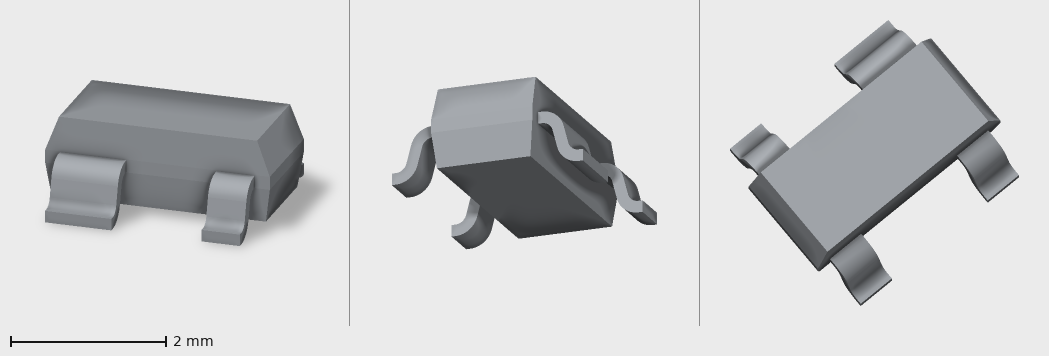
import cadquery as cq
import math

body_length = 3.05
body_width = 1.4
top_length = 2.69
top_width = 1.35
bottom_length = 2.91
bottom_width = 1.293
body_bottom = 0.1
body_top = 1.22
band_height = 0.18
band_bottom = (body_bottom + body_top - band_height) / 2
band_top = band_bottom + band_height

lead_span = 2.64
lead_thickness = 0.16
bend_inner_radius = 0.15
bend_outer_radius = bend_inner_radius + lead_thickness
bend_angle = math.radians(75)
lead_row_edge = 1.325
lead_width = 0.522
wide_lead_width = 0.903

leads_layout = [
    (-1, -1, wide_lead_width),
    (1, -1, lead_width),
    (-1, 1, lead_width),
    (1, 1, lead_width),
]

marker_diameter = 0.152
marker_depth = 0.015
marker_x = -0.87
marker_y = -0.357


def make_taper(start_z, start_size, end_z, end_size):
    """Loft between two centred rectangles lying at different heights."""
    return (
        cq.Workplane("XY", origin=(0, 0, start_z))
        .rect(*start_size)
        .workplane(offset=end_z - start_z)
        .rect(*end_size)
        .loft(ruled=True)
    )


def make_marker():
    return (
        cq.Workplane("XY", origin=(marker_x, marker_y, body_top - marker_depth))
        .circle(marker_diameter / 2)
        .extrude(marker_depth)
    )


def make_body():
    band_size = (body_length, body_width)
    band = (
        cq.Workplane("XY", origin=(0, 0, band_bottom))
        .rect(*band_size)
        .extrude(band_height)
    )
    upper = make_taper(band_top, band_size, body_top, (top_length, top_width))
    lower = make_taper(body_bottom, (bottom_length, bottom_width), band_bottom, band_size)
    return band.union(upper).union(lower).cut(make_marker())


def bend_point(center, radius, angle):
    """Point on a bend, with the angle measured from +Y towards +Z."""
    return (center[0] + radius * math.cos(angle), center[1] + radius * math.sin(angle))


def make_lead(side_x, side_y, width):
    """S-shaped strip running from the side of the body out to a flat foot."""
    root_y = body_width / 2
    toe_y = lead_span / 2
    lead_middle = (band_bottom + band_top) / 2
    lead_top = lead_middle + lead_thickness / 2
    lead_underside = lead_top - lead_thickness

    bend_middle_radius = (bend_inner_radius + bend_outer_radius) / 2
    bend_rise = bend_middle_radius * (1 - math.cos(bend_angle))
    bend_reach = bend_middle_radius * math.sin(bend_angle)
    leg_reach = (lead_underside - 2 * bend_rise) / math.tan(bend_angle)
    flat_length = (toe_y - root_y - 2 * bend_reach - leg_reach) / 2

    shoulder_center = (root_y + flat_length, lead_top - bend_outer_radius)
    foot_center = (toe_y - flat_length, bend_outer_radius)
    shoulder_start = math.pi / 2
    shoulder_end = shoulder_start - bend_angle
    shoulder_mid = shoulder_start - bend_angle / 2
    foot_start = shoulder_end + math.pi
    foot_mid = shoulder_mid + math.pi
    foot_end = shoulder_start + math.pi

    profile = (
        cq.Workplane("YZ")
        .moveTo(root_y, lead_top)
        .lineTo(*bend_point(shoulder_center, bend_outer_radius, shoulder_start))
        .threePointArc(
            bend_point(shoulder_center, bend_outer_radius, shoulder_mid),
            bend_point(shoulder_center, bend_outer_radius, shoulder_end),
        )
        .lineTo(*bend_point(foot_center, bend_inner_radius, foot_start))
        .threePointArc(
            bend_point(foot_center, bend_inner_radius, foot_mid),
            bend_point(foot_center, bend_inner_radius, foot_end),
        )
        .lineTo(toe_y, lead_thickness)
        .lineTo(toe_y, 0)
        .lineTo(*bend_point(foot_center, bend_outer_radius, foot_end))
        .threePointArc(
            bend_point(foot_center, bend_outer_radius, foot_mid),
            bend_point(foot_center, bend_outer_radius, foot_start),
        )
        .lineTo(*bend_point(shoulder_center, bend_inner_radius, shoulder_end))
        .threePointArc(
            bend_point(shoulder_center, bend_inner_radius, shoulder_mid),
            bend_point(shoulder_center, bend_inner_radius, shoulder_start),
        )
        .lineTo(root_y, lead_underside)
        .close()
    )
    center_x = side_x * (lead_row_edge - width / 2)
    lead = profile.extrude(width / 2, both=True)
    if side_y < 0:
        lead = lead.mirror("XZ")
    return lead.translate((center_x, 0, 0))


body = make_body()
marker = make_marker()
leads = [make_lead(side_x, side_y, width) for side_x, side_y, width in leads_layout]

result = cq.Compound.makeCompound([body.val(), marker.val(), *[lead.val() for lead in leads]])